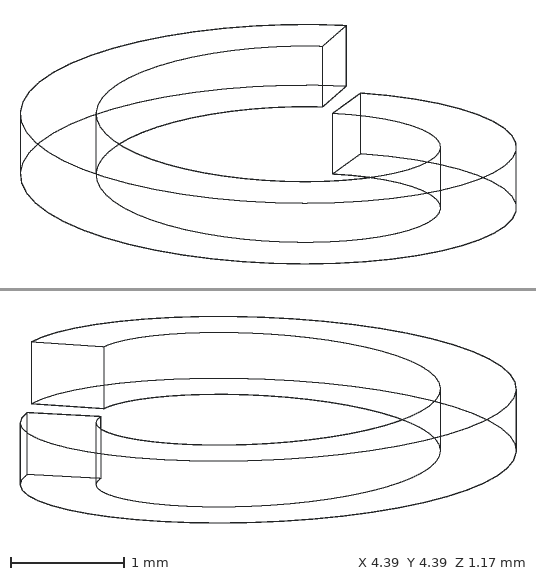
import cadquery as cq

outer_radius = 2.195
inner_radius = 1.525
section_height = 0.56
total_height = 1.17
gap_angle = 3.5
upper_end_angle = 90.0

section_width = outer_radius - inner_radius
mean_radius = (outer_radius + inner_radius) / 2
rise = total_height - section_height
pitch = rise * 360 / (360 - gap_angle)

coil_path = cq.Wire.makeHelix(pitch, rise, mean_radius, lefthand=True)

coil = (
    cq.Workplane("XZ")
    .center(mean_radius, 0)
    .rect(section_width, section_height)
    .sweep(cq.Workplane(obj=coil_path), isFrenet=True)
)

result = (
    coil
    .rotate((0, 0, 0), (0, 0, 1), upper_end_angle - gap_angle)
    .translate((0, 0, -rise / 2))
)